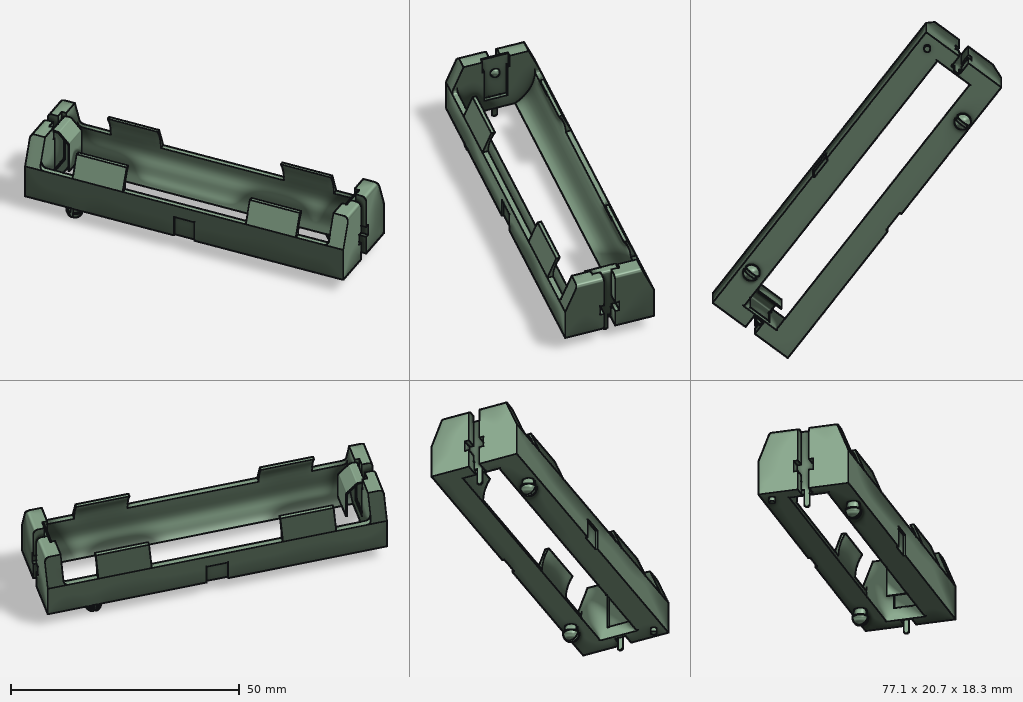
import cadquery as cq
import math

length = 77.05
width = 20.65
wall_height = 7.85
tower_height = 14.8
tower_top_width = 15.1
left_tower = 3.55
right_tower = 3.7
left_top_fillet = 1.0
right_top_fillet = 1.15
corner_fillet = 1.0

half_length = length / 2
half_width = width / 2
left_face = -half_length + left_tower
right_face = half_length - right_tower
side_slope = (half_width - tower_top_width / 2) / (tower_height - wall_height)

bore_radius = 9.0
bore_axis = wall_height
clip_length = 12.1
clip_spacing = 41.9
clip_height = 13.0

slot_width = 2.55
window_width = 4.5
window_bottom = 4.4
window_top = 6.9
pocket_width = 5.4
pocket_head_width = 6.3
pocket_floor = 3.0
pocket_step = 11.6
left_pocket_depth = 1.1
right_pocket_depth = 1.15

notch_width = 4.9
notch_height = 4.85
notch_depth = 0.5

peg_x = 27.6
peg_y = 8.0
peg_stem_radius = 1.5
peg_head_radius = 1.85
peg_dome_radius = 1.8
peg_head_top = -1.6
peg_lip = 0.15
peg_slit = 0.7
post_radius = 0.7
post_height = 1.0

sheet = 0.3
left_contact_back = -35.7
right_contact_front = right_face + right_pocket_depth - sheet
pin_width = 1.2
pin_shoulder = 0.9
pin_tip = -3.2
pin_taper = 0.4
pin_tip_width = 0.4
spring_top = 13.95
spring_bend_x = -33.8
leaf_face = -31.2
slope_angle = 45
bend_radius = 0.7
button_radius = 1.1
button_height = 10.0


def block(x_min, x_max, y_size, z_min, z_max):
    """Box between two X and two Z levels, centred on Y = 0."""
    return (
        cq.Workplane("XY", origin=((x_min + x_max) / 2, 0, z_min))
        .box(x_max - x_min, y_size, z_max - z_min, centered=(True, True, False))
    )


def extrude_along_x(outline, x_min, x_max):
    """Extrude a closed (y, z) outline between two X positions."""
    return cq.Workplane("YZ", origin=(x_min, 0, 0)).polyline(outline).close().extrude(x_max - x_min)


def tapered_section(top):
    """(y, z) outline of the body cut off at the given height."""
    top_half = half_width - side_slope * (top - wall_height)
    return [
        (-half_width, 0),
        (half_width, 0),
        (half_width, wall_height),
        (top_half, top),
        (-top_half, top),
        (-half_width, wall_height),
    ]


def make_tower(x_min, x_max, outer_side, fillet):
    tower = extrude_along_x(tapered_section(tower_height), x_min, x_max)
    return tower.faces(">Z").edges(outer_side).fillet(fillet)


def make_corner_fillet(inner_face, direction):
    """Concave fillet between a tower's inner face and the side wall tops."""
    mid = corner_fillet * (1 - math.sqrt(0.5))
    return (
        cq.Workplane("XZ", origin=(inner_face, half_width, wall_height))
        .lineTo(direction * corner_fillet, 0)
        .threePointArc((direction * mid, mid), (0, corner_fillet))
        .close()
        .extrude(width)
        .intersect(extrude_along_x(tapered_section(tower_height), -half_length, half_length))
    )


def make_tray():
    """Side walls and clips hollowed by the cell bore, which opens through the bottom."""
    tray = block(left_face, right_face, width, 0, wall_height)
    for x in (-clip_spacing / 2, clip_spacing / 2):
        clip = extrude_along_x(tapered_section(clip_height), x - clip_length / 2, x + clip_length / 2)
        tray = tray.union(clip)
    for inner_face, direction in ((left_face, 1), (right_face, -1)):
        tray = tray.union(make_corner_fillet(inner_face, direction))
    bore = (
        cq.Workplane("YZ", origin=(left_face, 0, bore_axis))
        .circle(bore_radius)
        .extrude(right_face - left_face)
    )
    return tray.cut(bore)


def make_pocket(x_min, x_max):
    """Stepped recess that holds a contact plate."""
    body = block(x_min, x_max, pocket_width, pocket_floor, tower_height)
    head = block(x_min, x_max, pocket_head_width, pocket_step, tower_height)
    return body.union(head)


def make_slot(x_min, x_max):
    """Full-height slot with a wider window across it."""
    slot = block(x_min, x_max, slot_width, 0, tower_height)
    return slot.union(block(x_min, x_max, window_width, window_bottom, window_top))


def make_peg(x, y):
    """Split snap peg with a domed head."""
    dome_centre = peg_head_top - peg_lip
    peg = (
        cq.Workplane("XZ")
        .lineTo(peg_stem_radius, 0)
        .lineTo(peg_stem_radius, peg_head_top)
        .lineTo(peg_head_radius, peg_head_top)
        .lineTo(peg_head_radius, dome_centre)
        .lineTo(peg_dome_radius, dome_centre)
        .threePointArc(
            (peg_dome_radius * math.sqrt(0.5), dome_centre - peg_dome_radius * math.sqrt(0.5)),
            (0, dome_centre - peg_dome_radius),
        )
        .close()
        .revolve(360, (0, 0, 0), (0, 1, 0))
    )
    slit = block(-peg_slit / 2, peg_slit / 2, 2 * peg_head_radius, dome_centre - peg_dome_radius, 0)
    return peg.cut(slit).translate((x, y, 0))


def make_housing():
    housing = make_tray()
    housing = housing.union(make_tower(-half_length, left_face, "<X", left_top_fillet))
    housing = housing.union(make_tower(right_face, half_length, ">X", right_top_fillet))

    housing = housing.cut(make_pocket(left_face - left_pocket_depth, left_face))
    housing = housing.cut(make_pocket(right_face, right_face + right_pocket_depth))
    housing = housing.cut(make_slot(-half_length, left_contact_back + sheet))
    housing = housing.cut(make_slot(right_contact_front, half_length))

    for side in (-1, 1):
        notch = block(-notch_width / 2, notch_width / 2, 2 * notch_depth, 0, notch_height)
        housing = housing.cut(notch.translate((0, side * half_width, 0)))

    for side in (-1, 1):
        housing = housing.union(make_peg(side * peg_x, side * peg_y))

    post = (
        cq.Workplane("XY", origin=(right_contact_front + sheet / 2, -peg_y, 0))
        .circle(post_radius)
        .extrude(-post_height)
    )
    return housing.union(post)


def make_contact_plate(x_min, top):
    """Flat plate with a stepped head, a narrow tab below it and a pointed solder pin."""
    half_outline = [
        (pin_tip_width / 2, pin_tip),
        (pin_width / 2, pin_tip + pin_taper),
        (pin_width / 2, pin_shoulder),
        (slot_width / 2, pin_shoulder),
        (slot_width / 2, pocket_floor),
        (pocket_width / 2, pocket_floor),
        (pocket_width / 2, pocket_step),
        (pocket_head_width / 2, pocket_step),
        (pocket_head_width / 2, top),
    ]
    mirrored = [(-y, z) for y, z in reversed(half_outline)]
    return extrude_along_x(half_outline + mirrored, x_min, x_min + sheet)


def make_spring():
    """Strip that folds over the top of the plate, slopes down and ends in an upright leaf."""
    slope_end = spring_top - (leaf_face - spring_bend_x) * math.tan(math.radians(slope_angle))
    leaf_end = 2 * bore_axis - slope_end
    miter = sheet * math.tan(math.radians(slope_angle / 2))
    back = left_contact_back
    strip = (
        cq.Workplane("XZ", origin=(0, pocket_head_width / 2, 0))
        .polyline([
            (back, pocket_step),
            (back, spring_top),
            (spring_bend_x, spring_top),
            (leaf_face, slope_end),
            (leaf_face, leaf_end),
            (leaf_face - sheet, leaf_end),
            (leaf_face - sheet, slope_end - miter),
            (spring_bend_x - miter, spring_top - sheet),
            (back + sheet, spring_top - sheet),
            (back + sheet, pocket_step),
        ])
        .close()
        .extrude(pocket_head_width)
    )

    outer_corners = [(back, spring_top), (spring_bend_x, spring_top), (leaf_face, slope_end)]
    inner_corners = [
        (back + sheet, spring_top - sheet),
        (spring_bend_x - miter, spring_top - sheet),
        (leaf_face - sheet, slope_end - miter),
    ]
    for corners, radius in ((outer_corners, bend_radius), (inner_corners, bend_radius - sheet)):
        for x, z in corners:
            corner = cq.selectors.NearestToPointSelector((x, 0, z))
            strip = strip.edges(corner).fillet(radius)
    return strip


def make_spring_contact():
    plate = make_contact_plate(left_contact_back, spring_top - bend_radius)
    return plate.union(make_spring())


def make_button_contact():
    """Flat contact with a domed button facing the cell."""
    plate = make_contact_plate(right_contact_front, tower_height)
    button = (
        cq.Workplane("XY", origin=(right_contact_front, 0, button_height))
        .sphere(button_radius)
        .intersect(block(left_face, right_contact_front, width, 0, tower_height))
    )
    return plate.union(button)


housing = make_housing()
spring_contact = make_spring_contact()
button_contact = make_button_contact()

result = cq.Compound.makeCompound([
    housing.solids().val(),
    spring_contact.solids().val(),
    button_contact.solids().val(),
])